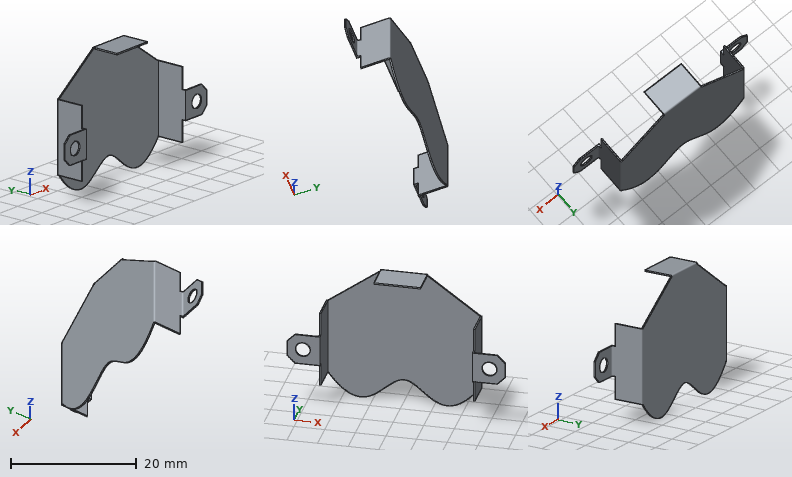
import cadquery as cq
import math

sheet = 0.254
body_width = 25.4
wall_height = 12.7
wall_depth = 5.08
overall_depth = 5.842
overall_width = 35.56
overall_height = 22.987
flange_width = 7.62
tab_height = 5.08
tab_chamfer = 1.27
hole_diameter = 2.39
hole_inset = 2.54
lobe_depth = 3.81
lobe_outer_handle = 6.0
lobe_inner_handle = 3.27

half_body = body_width / 2
half_plate = half_body - sheet
half_flange = flange_width / 2
half_span = overall_width / 2
wall_top = wall_height / 2
wall_bottom = -wall_height / 2
part_top = wall_bottom - lobe_depth + overall_height
arc_reach = sheet * math.sqrt(0.5)
lobe_handle_z = wall_bottom - lobe_depth * 9 / 4


def back_plate():
    """Flat plate with sloping shoulders and a two-lobed bottom edge."""
    left_lobe = [
        (-half_plate, wall_bottom),
        (-lobe_outer_handle, lobe_handle_z),
        (-lobe_inner_handle, wall_bottom),
        (0, wall_bottom),
    ]
    right_lobe = [(-x, z) for x, z in reversed(left_lobe)]
    return (
        cq.Workplane("XZ")
        .moveTo(-half_plate, wall_bottom)
        .bezier(left_lobe)
        .bezier(right_lobe)
        .lineTo(half_plate, wall_top)
        .lineTo(half_flange, part_top - sheet)
        .lineTo(-half_flange, part_top - sheet)
        .lineTo(-half_plate, wall_top)
        .close()
        .extrude(sheet)
    )


def folded_flange(plane, bend_line, length):
    """Flange folded forward at bend_line, measured along the plane's local X, rounded outside the bend."""
    outer = bend_line + sheet
    return (
        cq.Workplane(plane)
        .moveTo(bend_line, 0)
        .threePointArc((bend_line + arc_reach, arc_reach - sheet), (outer, -sheet))
        .lineTo(outer, -wall_depth)
        .lineTo(bend_line, -wall_depth)
        .close()
        .extrude(length / 2, both=True)
    )


def mounting_tab():
    """Tab folded outward from the +X wall, rounded inside the bend, with clipped corners and a hole."""
    tab_back = sheet - overall_depth
    bend_end = half_body + sheet
    bend_start = tab_back + sheet
    tab = (
        cq.Workplane("XY")
        .moveTo(half_plate, -overall_depth)
        .lineTo(half_span, -overall_depth)
        .lineTo(half_span, tab_back)
        .lineTo(bend_end, tab_back)
        .threePointArc((bend_end - arc_reach, bend_start - arc_reach), (half_body, bend_start))
        .lineTo(half_body, -wall_depth)
        .lineTo(half_plate, -wall_depth)
        .close()
        .extrude(tab_height / 2, both=True)
        .edges("|Y and >X")
        .chamfer(tab_chamfer)
    )
    hole = (
        cq.Workplane("XZ")
        .center(half_span - hole_inset, 0)
        .circle(hole_diameter / 2)
        .extrude(overall_depth)
    )
    return tab.cut(hole)


top_flange = folded_flange("ZY", part_top - sheet, flange_width)
side_wall = folded_flange("XY", half_plate, wall_height)
side = side_wall.union(mounting_tab())
result = back_plate().union(top_flange).union(side).union(side.mirror("YZ")).clean()